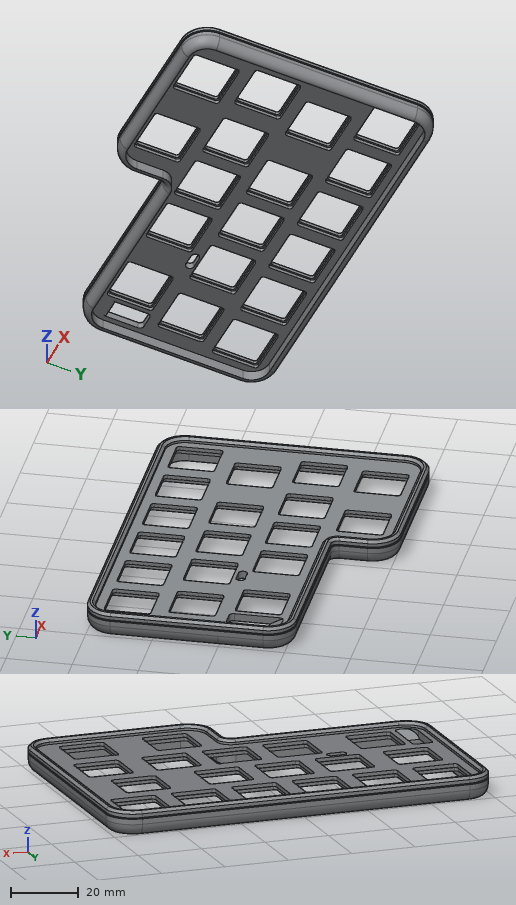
import cadquery as cq
import math

length = 120.1
height = 7.6
columns = 6
rows = 4
margin = 2.9
key_pitch = (length - 2 * margin) / columns
width = rows * key_pitch + 2 * margin

key_rows = [
    [(0, 1), (1, 1), (2, 1), (3, 1), (4, 1), (5, 1)],
    [(0, 1.25), (1.25, 1), (2.25, 1), (3.25, 1), (4.25, 1.75)],
    [(0, 1.75), (1.75, 1), (2.75, 1), (3.75, 1), (4.75, 1.25)],
    [(3.25, 1.25), (4.5, 1.5)],
]
thumb_row_start = key_rows[-1][0][0]
key_opening = 14.0
key_corner_diameter = 1.9
key_plate_thickness = 1.2
key_relief = 0.5

outer_radius = 8.4
notch_radius = 2.0
wall = 2.5
deck_depth = 1.6
deck_thickness = 2.4
deck_top = height - deck_depth
deck_bottom = deck_top - deck_thickness

rim_chamfer = 0.8
rim_inset = 2.4
base_curve_height = 3.5
base_curve_inset = 2.4
seam_bottom = 5.2
seam_height = 0.4
seam_depth = 0.2

oval_length = 6.1
oval_diameter = 2.6
oval_x = -24.7
oval_y = 0.0

slot_width = 6.4
slot_length = 16.3
slot_left = -55.8
slot_bottom = -17.8
slot_corner_diameter = 2.6
slot_round_corner = 3.5
ramp_length = 4.3

left = -length / 2
back = width / 2
notch_x = left + thumb_row_start * key_pitch
notch_y = back - (rows - 1) * key_pitch - 2 * margin


def case_outline():
    """Closed L-shaped outline with large convex corners and a tight concave one."""
    bend = outer_radius * (1 - math.sqrt(0.5))
    notch_bend = notch_radius * (1 - math.sqrt(0.5))
    right = -left
    front = -back
    r = outer_radius
    return (
        cq.Workplane("XY")
        .moveTo(left, 0)
        .lineTo(left, back - r)
        .threePointArc((left + bend, back - bend), (left + r, back))
        .lineTo(right - r, back)
        .threePointArc((right - bend, back - bend), (right, back - r))
        .lineTo(right, front + r)
        .threePointArc((right - bend, front + bend), (right - r, front))
        .lineTo(notch_x + r, front)
        .threePointArc((notch_x + bend, front + bend), (notch_x, front + r))
        .lineTo(notch_x, notch_y - notch_radius)
        .threePointArc((notch_x - notch_bend, notch_y - notch_bend), (notch_x - notch_radius, notch_y))
        .lineTo(left + r, notch_y)
        .threePointArc((left + bend, notch_y + bend), (left, notch_y + r))
        .close()
    )


def case_prism(bottom, top, inset=0.0, taper=0.0):
    """Case outline moved inward by inset and extruded from bottom to top, which may be the lower."""
    outline = case_outline()
    if inset:
        outline = outline.offset2D(-inset)
    return outline.extrude(top - bottom, taper=taper).translate((0, 0, bottom))


def rounded_box(box_length, box_width, corner_diameter, top):
    """Block with rounded vertical edges, centred on the Z axis and reaching from the XY plane to top."""
    return (
        cq.Workplane("XY")
        .rect(box_length, box_width)
        .extrude(top)
        .edges("|Z")
        .fillet(corner_diameter / 2)
    )


def base_rounding():
    """Ring cutter that rounds the lower outer edge to a quarter ellipse."""
    profile = (
        cq.Workplane("XZ", origin=(left, 0, 0))
        .moveTo(0, base_curve_height)
        .ellipseArc(base_curve_inset, base_curve_height, 180, 270, startAtCurrent=True)
        .lineTo(0, 0)
        .close()
    )
    return profile.sweep(case_outline())


def case_body():
    """Chamfered and rounded outer block with a recessed deck, hollow below it."""
    body = case_prism(0, height).faces(">Z").edges().chamfer(rim_chamfer).cut(base_rounding())
    cavity = case_prism(0, deck_bottom, wall)
    recess = case_prism(deck_top, height, rim_inset)
    recess_flare = case_prism(height, height - rim_chamfer, rim_inset - rim_chamfer, taper=45)
    return body.cut(cavity).cut(recess).cut(recess_flare)


def seam_groove():
    """Shallow groove around the outer side."""
    seam_top = seam_bottom + seam_height
    return case_prism(seam_bottom, seam_top).cut(case_prism(seam_bottom, seam_top, seam_depth))


def key_openings():
    """Square opening at the centre of every key, slightly wider in the lower part of the deck."""
    relief_size = key_opening + 2 * key_relief
    opening = rounded_box(key_opening, key_opening, key_corner_diameter, height)
    relief = rounded_box(relief_size, relief_size, key_corner_diameter, deck_top - key_plate_thickness)
    stepped_opening = opening.union(relief)
    centres = []
    for row, keys in enumerate(key_rows):
        y = back - margin - (row + 0.5) * key_pitch
        for key_left, key_width in keys:
            x = left + margin + (key_left + key_width / 2) * key_pitch
            centres.append((x, y))
    return cq.Workplane("XY").pushPoints(centres).eachpoint(stepped_opening.val(), combine=False)


def oval_opening():
    """Round-ended opening through the deck."""
    return cq.Workplane("XY").center(oval_x, oval_y).slot2D(oval_length, oval_diameter).extrude(height)


def side_slot():
    """Slot whose -Y end rises from the underside to the top of the deck as a ramp."""
    slot = (
        cq.Workplane("XY")
        .rect(slot_width, slot_length, centered=False)
        .extrude(height)
        .edges("|Z and (>X or >Y)")
        .fillet(slot_corner_diameter / 2)
        .edges("|Z and <X and <Y")
        .fillet(slot_round_corner)
    )
    ramp = (
        cq.Workplane("YZ")
        .polyline([(0, 0), (ramp_length, 0), (ramp_length, deck_bottom), (0, deck_top)])
        .close()
        .extrude(slot_width)
    )
    return slot.cut(ramp).translate((slot_left, slot_bottom, 0))


result = (
    case_body()
    .cut(oval_opening())
    .cut(side_slot())
    .cut(seam_groove())
    .cut(key_openings())
    .solids()
)